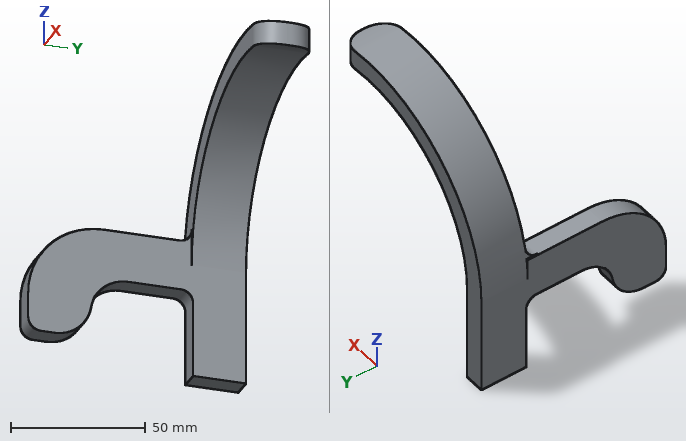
import cadquery as cq

height = 115.1
reach = 88.0
depth = 86.2
thickness = 9.0

outer_radius = 70.0
strap_width = 21.5
tip_radius = 9.9
arc_x = outer_radius
arc_z = height - outer_radius
inner_radius = outer_radius - thickness

leg_width = 20.9
bar_top = 54.5
bar_bottom = 34.6
hook_outer_radius = 30.0
hook_inner_radius = 15.0
corner_radius = 5.0
hook_center_z = bar_top - hook_outer_radius
hook_bottom = hook_center_z - hook_inner_radius
inner_bend_y = -46.5
inner_bend_z = bar_bottom - hook_inner_radius

toe_rise = hook_center_z - inner_bend_z
toe_offset = ((2 * hook_inner_radius) ** 2 - toe_rise**2) ** 0.5
toe_y = inner_bend_y - toe_offset
toe_joint = ((inner_bend_y + toe_y) / 2, (inner_bend_z + hook_center_z) / 2)


def make_strap():
    """Quarter arch running past its crown, with a rounded tip in plan."""
    ring = (
        cq.Workplane("XZ", origin=(arc_x, 0, arc_z))
        .circle(outer_radius)
        .circle(inner_radius)
        .extrude(strap_width)
    )
    plan = (
        cq.Workplane("XY", origin=(0, 0, arc_z))
        .rect(reach, -strap_width, centered=False)
        .extrude(outer_radius)
        .edges("|Z and >X")
        .fillet(tip_radius)
    )
    return ring.intersect(plan)


def make_plate():
    """Leg, bar and hook in one flat outline."""
    outline = (
        cq.Workplane("YZ")
        .moveTo(0, 0)
        .lineTo(0, arc_z)
        .lineTo(-strap_width, arc_z)
        .lineTo(-strap_width, bar_top)
        .lineTo(hook_outer_radius - depth, bar_top)
        .radiusArc((-depth, hook_center_z), -hook_outer_radius)
        .lineTo(-depth, hook_bottom + corner_radius)
        .radiusArc((corner_radius - depth, hook_bottom), -corner_radius)
        .lineTo(toe_y, hook_bottom)
        .radiusArc(toe_joint, -hook_inner_radius)
        .radiusArc((inner_bend_y, bar_bottom), hook_inner_radius)
        .lineTo(-leg_width - corner_radius, bar_bottom)
        .radiusArc((-leg_width, bar_bottom - corner_radius), corner_radius)
        .lineTo(-leg_width, 0)
        .close()
    )
    return outline.extrude(thickness)


def make_upper_fillet():
    """Concave corner between bar and strap, trimmed to the strap's outer curve."""
    corner = (
        cq.Workplane("YZ")
        .moveTo(-strap_width, bar_top)
        .lineTo(-strap_width, bar_top + corner_radius)
        .radiusArc((-strap_width - corner_radius, bar_top), corner_radius)
        .close()
        .extrude(thickness)
    )
    outer_disc = (
        cq.Workplane("XZ", origin=(arc_x, 0, arc_z))
        .circle(outer_radius)
        .extrude(depth)
    )
    return corner.intersect(outer_disc)


result = make_plate().union(make_strap()).union(make_upper_fillet())